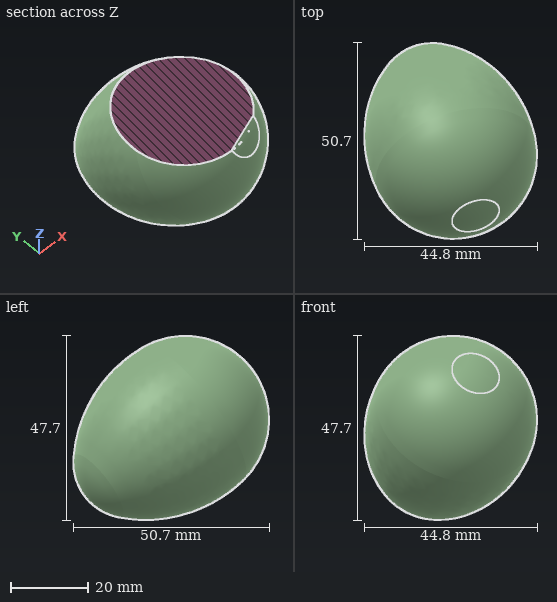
import cadquery as cq
import math

blunt_radius = 21.75
tip_radius = 14.55
flank_radius = 38.2
center_distance = 18.9
shell_thickness = 0.2
air_cell_depth = 0.95

blunt_center = (0.65, -3.6, 2.15)
egg_axis = (0.282, -0.763, 0.582)
across_axis = (egg_axis[2], 0, -egg_axis[0])
egg_plane = cq.Plane(origin=blunt_center, xDir=across_axis, normal=egg_axis)
profile_plane = cq.Plane(
    origin=blunt_center, xDir=across_axis, normal=egg_plane.yDir.multiply(-1).toTuple()
)

to_blunt = flank_radius - blunt_radius
to_tip = flank_radius - tip_radius
flank_along = -(to_blunt**2 - to_tip**2 + center_distance**2) / (2 * center_distance)
flank_across = -math.sqrt(to_blunt**2 - flank_along**2)

blunt_angle = math.atan2(-flank_across, -flank_along)
tip_angle = math.atan2(-flank_across, -center_distance - flank_along)


def arc_point(across, along, radius, angle):
    """Point of a profile arc at an angle from the blunt end of the axis."""
    return (across + radius * math.sin(angle), along + radius * math.cos(angle))


def egg(inset):
    """Solid egg whose surface lies a constant inset inside the outer surface."""
    blunt = blunt_radius - inset
    tip = tip_radius - inset
    flank = flank_radius - inset
    profile = (
        cq.Workplane(profile_plane)
        .moveTo(0, blunt)
        .threePointArc(
            arc_point(0, 0, blunt, blunt_angle / 2),
            arc_point(0, 0, blunt, blunt_angle),
        )
        .threePointArc(
            arc_point(flank_across, flank_along, flank, (blunt_angle + tip_angle) / 2),
            arc_point(flank_across, flank_along, flank, tip_angle),
        )
        .threePointArc(
            arc_point(0, -center_distance, tip, (tip_angle + math.pi) / 2),
            (0, -center_distance - tip),
        )
        .close()
    )
    return profile.revolve(360, (0, 0), (0, 1))


def make_shell():
    """Thin closed shell of even thickness."""
    return egg(0).cut(egg(shell_thickness))


def make_filling():
    """Filling of the shell, cut flat below the air cell at the blunt end."""
    flat_height = blunt_radius - shell_thickness - air_cell_depth
    air_cell = (
        cq.Workplane(egg_plane)
        .workplane(offset=flat_height)
        .circle(blunt_radius)
        .extrude(blunt_radius)
    )
    return egg(shell_thickness).cut(air_cell)


shell = make_shell()
filling = make_filling()

result = cq.Compound.makeCompound([shell.val(), filling.val()])